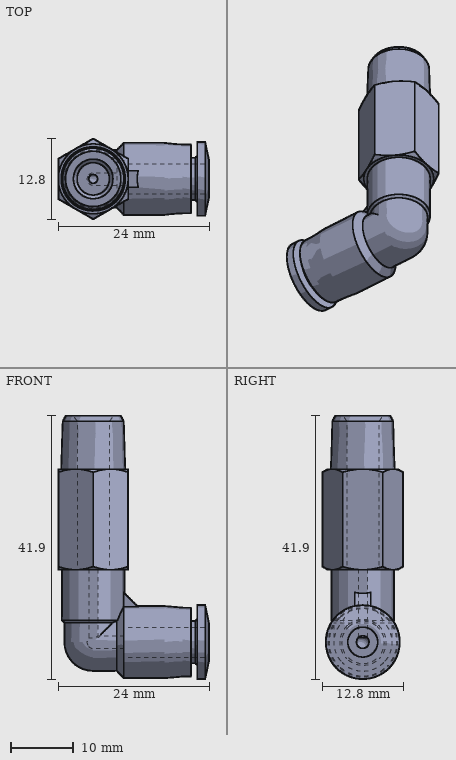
import cadquery as cq
import math


top_z = 36.0
thread_bottom_z = 27.5
hex_bottom_z = 11.5
stem_bottom_z = 3.5

thread_base_dia = 10.22
thread_length = top_z - thread_bottom_z
thread_taper = 1 / 16
thread_chamfer_height = 0.93
thread_chamfer_width = 0.48

hex_across_flats = 11.11
hex_half_sector = math.radians(30)
hex_across_corners = hex_across_flats / math.cos(hex_half_sector)
hex_chamfer_angle = math.radians(30)

stem_dia = 10.0
stem_chamfer = 0.4
elbow_dia = 9.2

overall_length = 24.0
port_end_x = overall_length - hex_across_flats / 2
cone_start_x = 3.74
cone_end_x = 4.86
taper_start_x = 11.33
taper_end_x = 14.2
body_end_x = 15.6
body_edge_chamfer = 0.13
neck_flare_x = 16.22
collar_start_x = 16.5
collar_rim_end_x = 17.8
body_dia = 11.5
body_front_dia = 11.0
neck_dia = 6.76
neck_flare = collar_start_x - neck_flare_x
collar_dia = 11.8
collar_face_dia = 5.8

rib_width = 2.6
rib_reach = 12.75

stem_bore_dia = 5.14
stem_bore_mouth_dia = 6.3
stem_bore_mouth_depth = 0.9
stem_bore_floor_z = hex_bottom_z
orifice_dia = 1.4
channel_dia = 2.0
tube_socket_dia = 4.76
tube_socket_floor_x = cone_end_x


def turn_about_z(profile):
    """Revolve (radius, z) points, closed along the Z axis."""
    return cq.Workplane("XZ").polyline(profile).close().revolve(360, (0, 0), (0, 1))


def turn_about_x(profile):
    """Revolve (x, radius) points, closed along the X axis."""
    return cq.Workplane("XZ").polyline(profile).close().revolve(360, (0, 0), (1, 0))


def vertical_cylinder(diameter, bottom_z, height):
    return cq.Workplane("XY").workplane(offset=bottom_z).circle(diameter / 2).extrude(height)


def horizontal_cylinder(diameter, start_x, length):
    return cq.Workplane("YZ").workplane(offset=start_x).circle(diameter / 2).extrude(length)


def make_thread():
    base_radius = thread_base_dia / 2
    shoulder_radius = base_radius - (thread_length - thread_chamfer_height) * thread_taper / 2
    return turn_about_z([
        (0, thread_bottom_z),
        (base_radius, thread_bottom_z),
        (shoulder_radius, top_z - thread_chamfer_height),
        (shoulder_radius - thread_chamfer_width, top_z),
        (0, top_z),
    ])


def make_hexagon():
    flat_radius = hex_across_flats / 2
    corner_radius = hex_across_corners / 2
    drop = (corner_radius - flat_radius) * math.tan(hex_chamfer_angle)
    prism = (
        cq.Workplane("XY")
        .workplane(offset=hex_bottom_z)
        .transformed(rotate=(0, 0, math.degrees(hex_half_sector)))
        .polygon(6, hex_across_corners)
        .extrude(thread_bottom_z - hex_bottom_z)
    )
    chamfer_envelope = turn_about_z([
        (0, hex_bottom_z),
        (flat_radius, hex_bottom_z),
        (corner_radius, hex_bottom_z + drop),
        (corner_radius, thread_bottom_z - drop),
        (flat_radius, thread_bottom_z),
        (0, thread_bottom_z),
    ])
    return prism.intersect(chamfer_envelope)


def make_stem():
    stem_radius = stem_dia / 2
    return turn_about_z([
        (0, stem_bottom_z - stem_chamfer),
        (stem_radius - stem_chamfer, stem_bottom_z - stem_chamfer),
        (stem_radius, stem_bottom_z),
        (stem_radius, hex_bottom_z),
        (0, hex_bottom_z),
    ])


def make_elbow():
    upright = vertical_cylinder(elbow_dia, 0, stem_bottom_z)
    outlet = horizontal_cylinder(elbow_dia, 0, cone_end_x)
    return cq.Workplane("XY").sphere(elbow_dia / 2).union(upright).union(outlet)


def make_port():
    body_radius = body_dia / 2
    front_radius = body_front_dia / 2
    neck_radius = neck_dia / 2
    collar_radius = collar_dia / 2
    return turn_about_x([
        (cone_start_x, 0),
        (cone_start_x, elbow_dia / 2),
        (cone_end_x, body_radius),
        (taper_start_x, body_radius),
        (taper_end_x, front_radius),
        (body_end_x - body_edge_chamfer, front_radius),
        (body_end_x, front_radius - body_edge_chamfer),
        (body_end_x, neck_radius),
        (neck_flare_x, neck_radius),
        (collar_start_x, neck_radius + neck_flare),
        (collar_start_x, collar_radius),
        (collar_rim_end_x, collar_radius),
        (port_end_x, collar_face_dia / 2),
        (port_end_x, 0),
    ])


def make_rib():
    return (
        cq.Workplane("XZ")
        .polyline([(0, 0), (rib_reach, 0), (0, rib_reach)])
        .close()
        .extrude(rib_width / 2, both=True)
    )


def make_passages():
    bore_radius = stem_bore_dia / 2
    stem_bore = turn_about_z([
        (0, stem_bore_floor_z),
        (bore_radius, stem_bore_floor_z),
        (bore_radius, top_z - stem_bore_mouth_depth),
        (stem_bore_mouth_dia / 2, top_z),
        (0, top_z),
    ])
    orifice = vertical_cylinder(orifice_dia, 0, stem_bore_floor_z)
    channel = horizontal_cylinder(channel_dia, 0, tube_socket_floor_x)
    channel_end = cq.Workplane("XY").sphere(channel_dia / 2)
    tube_socket = horizontal_cylinder(
        tube_socket_dia, tube_socket_floor_x, port_end_x - tube_socket_floor_x
    )
    return stem_bore.union(orifice).union(channel).union(channel_end).union(tube_socket)


result = (
    make_stem()
    .union(make_hexagon())
    .union(make_thread())
    .union(make_elbow())
    .union(make_port())
    .union(make_rib())
    .cut(make_passages())
)